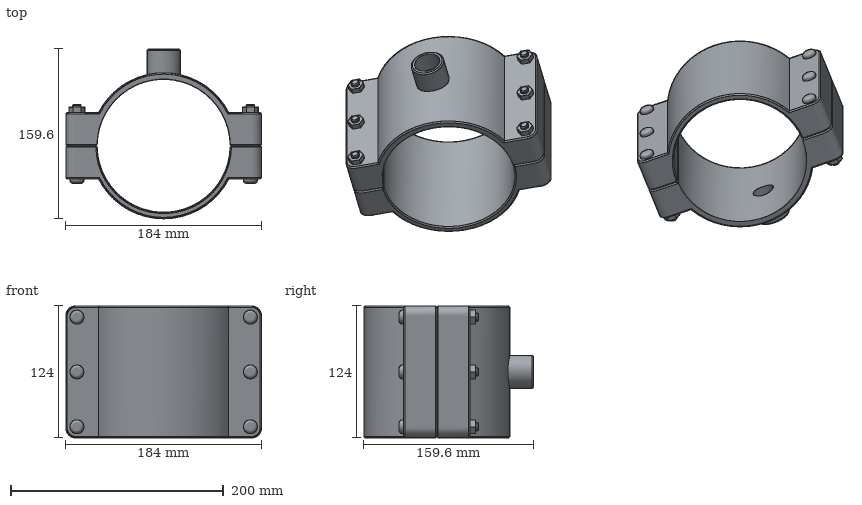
import cadquery as cq

length_x = 184.0
height = 124.0
ring_diameter = 137.3
bore_diameter = 125.0
flange_depth = 31.3
corner_radius = 9.4
edge_chamfer = 1.3
tolerance = 0.02

boss_diameter = 31.3
boss_hole_diameter = 20.0
counterbore_diameter = 24.1
counterbore_depth = 19.3
boss_end_y = 90.9
boss_chamfer = 1.3

bolt_x = 81.5
bolt_z_pitch = 51.5
bolt_diameter = 8.0
bolt_tip_height = 7.7
bolt_tip_chamfer = 1.0
head_diameter = 13.0
head_height = 4.0
head_fillet = 3.0
nut_width = 13.0
nut_height = 5.0
nut_turn = 30


def cylinder_along_y(diameter, start_y, end_y, x=0.0, z=0.0):
    """Solid cylinder parallel to Y between two Y positions."""
    start = cq.Workplane("XZ", origin=(x, start_y, z))
    return start.circle(diameter / 2).extrude(start_y - end_y)


def clamp_half(side, bore_rims_chamfered):
    """Half ring with two flanges; side is +1 for the rear half, -1 for the front half."""
    ring = cq.Workplane("XY").circle(ring_diameter / 2).extrude(height / 2, both=True)
    flanges = cq.Workplane("XY").box(length_x, 2 * flange_depth, height)
    flanges = flanges.edges("|Y").fillet(corner_radius)
    half_space = cq.Workplane("XY").box(length_x, length_x, height)
    half_space = half_space.translate((0, side * length_x / 2, 0))
    bore = cq.Workplane("XY").circle(bore_diameter / 2).extrude(height, both=True)
    half = ring.union(flanges).intersect(half_space).cut(bore)

    def is_chamfered(edge):
        middle = edge.Center()
        at_flange_root = (
            edge.geomType() == "LINE"
            and abs(middle.x) < ring_diameter / 2
            and abs(middle.y) > tolerance
        )
        at_bore_rim = edge.geomType() == "CIRCLE" and abs(edge.radius() - bore_diameter / 2) < tolerance
        return not at_flange_root and (bore_rims_chamfered or not at_bore_rim)

    return half.edges("not |Y").filter(is_chamfered).chamfer(edge_chamfer)


def pipe_boss():
    """Boss reaching from inside the ring wall to its chamfered outer end."""
    wall_middle_y = (ring_diameter + bore_diameter) / 4
    boss = cylinder_along_y(boss_diameter, wall_middle_y, boss_end_y)
    return boss.faces(">Y").edges().chamfer(boss_chamfer)


def boss_bore():
    """Stepped hole from the boss end through the wall of the rear half."""
    hole = cylinder_along_y(boss_hole_diameter, 0, boss_end_y)
    counterbore = cylinder_along_y(counterbore_diameter, boss_end_y - counterbore_depth, boss_end_y)
    return hole.union(counterbore)


def bolt_with_nut(x, z):
    """Domed bolt head on the front flange; nut and bolt tip on the rear flange."""
    shank = cylinder_along_y(bolt_diameter, -flange_depth, flange_depth + bolt_tip_height, x, z)
    shank = shank.faces(">Y").edges().chamfer(bolt_tip_chamfer)
    head = cylinder_along_y(head_diameter, -flange_depth - head_height, -flange_depth, x, z)
    head = head.faces("<Y").edges().fillet(head_fillet)
    nut = cq.Workplane("XZ", origin=(x, flange_depth, z)).transformed(rotate=(0, 0, nut_turn))
    nut = nut.polygon(6, nut_width, circumscribed=True).extrude(-nut_height)
    return shank.union(head).union(nut)


rear_half = clamp_half(1, bore_rims_chamfered=False).union(pipe_boss()).cut(boss_bore())
front_half = clamp_half(-1, bore_rims_chamfered=True)
result = rear_half.union(front_half)
for bolt_side in (-1, 1):
    for row in (-1, 0, 1):
        result = result.union(bolt_with_nut(bolt_side * bolt_x, row * bolt_z_pitch))